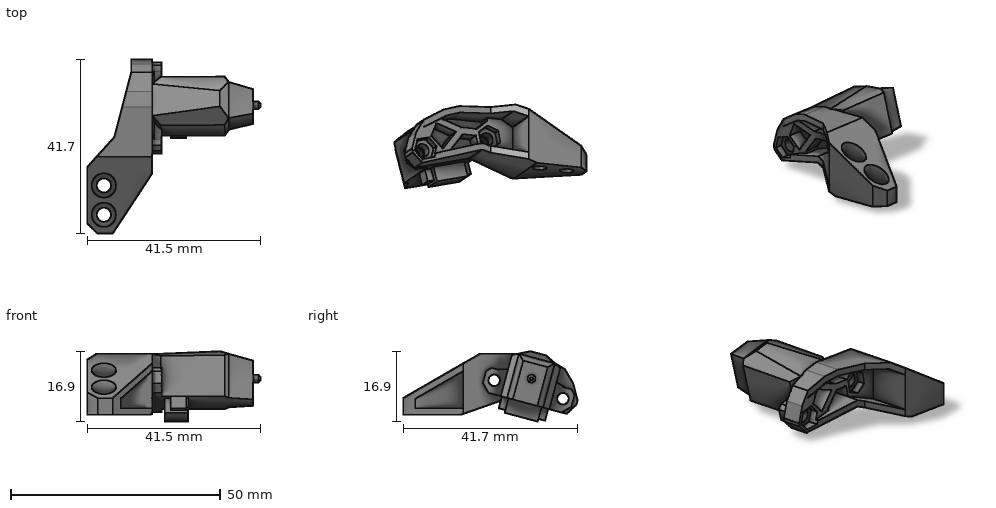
import cadquery as cq
import math


tilt = 15.0
probe_center_y = 30.0
probe_center_z = 6.05
screw_spacing = 17.0
screw_offsets = (-screw_spacing / 2, screw_spacing / 2)

foot_width = 15.55
plate_thickness = 5.0
window_depth = 4.0
rim = 1.6
tip_height = 4.0
top_height = 14.6
slope = 30.0
slope_tan = math.tan(math.radians(slope))
tilt_tan = math.tan(math.radians(tilt))
slope_top_y = (top_height - tip_height) / slope_tan
arch_y = 30.4
arch_bend_y = 34.0
arch_bend_z = top_height - (arch_bend_y - arch_y) * tilt_tan
plate_y = 38.65
plate_z = arch_bend_z - (plate_y - arch_bend_y) * slope_tan
base_end_y = 13.8
knee_y = 25.1
knee_z = 3.95
heel_y = 39.1
heel_z = knee_z - (heel_y - knee_y) * tilt_tan
end_outline = [(40.65, 7.6), (41.73, 3.45), (41.5, 2.5)]

flank_y = 14.36
tip_x = (-9.43, -13.0)
tip_corner_y = 2.45
shoulder_y = 15.9
waist_x = -9.05
waist_y = 23.1

mount_x = -11.53
mount_ys = (4.53, 11.53)
mount_hole_d = 3.35
mount_head_d = 5.8
mount_floor_z = 3.0

screw_hole_d = 3.2
nut_flats = 5.05
nut_depth = 2.0
nut_angles = (20.0, -15.0)

flank_pocket_x = -7.53

end_run = 10.0
beyond = 50.0

flange_t = 2.3
flange_half = 10.94
flange_bottom = -3.25
flange_top = 2.7
flange_upper_cut = 1.06
flange_lower_cut = 1.9
ear_hole_d = 2.7

hill_half = 8.4
hill_angle = 17.0
hill_back_x = 0.53
hill_back_inset = 1.3

body_half = 6.0
root_half = 3.94
root_top = 7.73
flank_top = 6.70
flare_x = body_half - root_half
crest_x = 16.2
crest_half = 1.95
crest_top = 8.97
side_end_x = 17.32
neck_x = 18.35
neck_half = 4.45
neck_top = 7.65
nose_x = 24.15
nose_half = 3.03
nose_top = 6.35

pin_z = 2.69
pin_d = 1.9
pin_tip_d = 0.75
pin_straight = 1.22
pin_end_x = 25.95

socket_x = (2.98, 8.58)
socket_half = 4.08
socket_bottom = -6.87
lug_x = (4.5, 8.17)
lug_half = 5.75
lug_bottom = -6.2


def prism_x(points, x0, x1):
    """Prism along X from an outline of (y, z) points."""
    return cq.Workplane("YZ", origin=(x0, 0, 0)).polyline(points).close().extrude(x1 - x0)


def prism_z(points, z0, z1):
    """Prism along Z from an outline of (x, y) points."""
    return cq.Workplane("XY", origin=(0, 0, z0)).polyline(points).close().extrude(z1 - z0)


def box(x, y, z):
    """Box from (low, high) pairs."""
    return prism_z([(x[0], y[0]), (x[1], y[0]), (x[1], y[1]), (x[0], y[1])], z[0], z[1])


def probe_to_part(y, z):
    """Part (y, z) of a point given in the tilted probe frame."""
    cosine = math.cos(math.radians(tilt))
    sine = math.sin(math.radians(tilt))
    return (probe_center_y + y * cosine + z * sine, probe_center_z - y * sine + z * cosine)


upper_edge = [
    (0, tip_height),
    (slope_top_y, top_height),
    (arch_y, top_height),
    (arch_bend_y, arch_bend_z),
]
lower_edge = [(heel_y, heel_z), (knee_y, knee_z), (base_end_y, 0)]


def bracket_blank():
    side = upper_edge + [(plate_y, plate_z)] + end_outline + lower_edge + [(0, 0)]
    plan = [
        (0, flank_y),
        (tip_x[0], 0),
        (tip_x[1], 0),
        (-foot_width, tip_corner_y),
        (-foot_width, shoulder_y),
        (waist_x, waist_y),
        (-plate_thickness, plate_y),
        (-plate_thickness, beyond),
        (0, beyond),
    ]
    return prism_x(side, -foot_width, 0).intersect(prism_z(plan, 0, top_height))


def inset_side(x0, x1):
    """Prism of the side outline, open at the plate end and set in by the rim."""
    end_y = plate_y + end_run
    open_end = [
        (end_y, plate_z - end_run * slope_tan),
        (end_y, heel_z - (end_y - heel_y) * tilt_tan),
    ]
    outline = upper_edge + open_end + lower_edge[1:] + [(0, 0)]
    return (
        cq.Workplane("YZ", origin=(x0, 0, 0))
        .polyline(outline).close().offset2D(-rim, "intersection").extrude(x1 - x0)
    )


def arm_pocket():
    reach = box((-foot_width, -plate_thickness), (shoulder_y, beyond), (0, top_height))
    return inset_side(-foot_width, -plate_thickness).intersect(reach)


def plate_windows():
    """Blind lightening windows as (y, z) outlines, the upper and lower ones trimmed by the rim."""
    upper = [
        (33.7, 11.5),
        (29.1, 10.0),
        (25.1, 10.0),
        (22.36, 12.35),
        (22.5, top_height),
        (arch_bend_y, top_height),
    ]
    middle = [(35.4, 10.4), (30.4, 8.75), (33.8, 4.25), (36.8, 7.1)]
    lower = [(28.6, 8.35), (25.3, 8.35), (24.8, 5.75), (24.5, 4), (31.2, 3.6), (31.6, 4.45)]
    floor_x = window_depth - plate_thickness
    inside = inset_side(-plate_thickness, floor_x)
    windows = [prism_x(outline, -plate_thickness, floor_x) for outline in (upper, middle, lower)]
    return [window.intersect(inside) for window in windows]


def flank_pocket():
    """Recess in the slanted flank; its roof runs parallel to the sloping top."""
    roof_z = tip_height - rim / math.cos(math.radians(slope))
    outline = [(0, rim), (flank_y, rim), (flank_y, roof_z + flank_y * slope_tan), (0, roof_z)]
    return prism_x(outline, flank_pocket_x, 0)


def nut_cut(offset, angle):
    y, z = probe_to_part(offset, 0)
    across_corners = nut_flats / math.cos(math.pi / 6)
    nut = (
        cq.Workplane("YZ")
        .polygon(6, across_corners).extrude(-foot_width)
        .rotate((0, 0, 0), (1, 0, 0), angle)
        .translate((nut_depth - plate_thickness, y, z))
    )
    hole = cq.Workplane("YZ").center(y, z).circle(screw_hole_d / 2).extrude(-plate_thickness)
    return nut.union(hole)


def mount_cut(y):
    hole = cq.Workplane("XY").center(mount_x, y).circle(mount_hole_d / 2).extrude(top_height)
    head = (
        cq.Workplane("XY", origin=(0, 0, mount_floor_z))
        .center(mount_x, y).circle(mount_head_d / 2).extrude(top_height)
    )
    return hole.union(head)


def make_bracket():
    bracket = bracket_blank().cut(arm_pocket()).cut(flank_pocket())
    for window in plate_windows():
        bracket = bracket.cut(window)
    for offset, angle in zip(screw_offsets, nut_angles):
        bracket = bracket.cut(nut_cut(offset, angle))
    for y in mount_ys:
        bracket = bracket.cut(mount_cut(y))
    return bracket


def mirrored(points):
    """Close a half outline of (y, z) points with its mirror image in y."""
    return points + [(-y, z) for y, z in reversed(points)]


def flange():
    half = [
        (flange_half - flange_lower_cut, flange_bottom),
        (flange_half, flange_bottom + flange_lower_cut),
        (flange_half, flange_top - flange_upper_cut),
        (flange_half - flange_upper_cut, flange_top),
    ]
    return prism_x(mirrored(half), 0, flange_t)


def flange_hill():
    rise = math.tan(math.radians(hill_angle))

    def outline(half):
        return [(-half, flange_top), (0, flange_top + half * rise), (half, flange_top)]

    bevel = (
        cq.Workplane("YZ").polyline(outline(hill_half - hill_back_inset)).close()
        .workplane(offset=hill_back_x).polyline(outline(hill_half)).close()
        .loft(ruled=True)
    )
    return bevel.union(prism_x(outline(hill_half), hill_back_x, flange_t))


def body():
    half_plan = [
        (0, root_half),
        (flare_x, body_half),
        (side_end_x, body_half),
        (neck_x, neck_half),
        (nose_x, nose_half),
    ]
    plan = half_plan + [(x, -y) for x, y in reversed(half_plan)]
    side = [
        (0, flange_bottom),
        (0, root_top),
        (crest_x, crest_top),
        (neck_x, neck_top),
        (nose_x, nose_top),
        (nose_x, flange_bottom),
    ]
    block = prism_z(plan, flange_bottom, crest_top).intersect(
        cq.Workplane("XZ").polyline(side).close().extrude(body_half, both=True)
    )
    for sign in (-1, 1):
        block = block.cut(shoulder_cut(sign))
    return block


def shoulder_cut(sign):
    """Block above the facet plane through the root, crest and flare corners."""
    root = cq.Vector(0, sign * root_half, root_top)
    crest = cq.Vector(crest_x, sign * crest_half, crest_top)
    flare = cq.Vector(flare_x, sign * body_half, flank_top)
    normal = (crest - root).cross(flare - root)
    if normal.z < 0:
        normal = normal * -1
    plane = cq.Plane(origin=crest, xDir=crest - root, normal=normal)
    return cq.Workplane(plane).rect(2 * nose_x, 2 * nose_x).extrude(body_half)


def pin():
    return (
        cq.Workplane("XY")
        .polyline([
            (nose_x, 0),
            (nose_x, -pin_d / 2),
            (nose_x + pin_straight, -pin_d / 2),
            (pin_end_x, -pin_tip_d / 2),
            (pin_end_x, 0),
        ])
        .close().revolve(360, (0, 0, 0), (1, 0, 0))
        .translate((0, 0, pin_z))
    )


def connector():
    socket = box(socket_x, (-socket_half, socket_half), (socket_bottom, flange_bottom))
    lugs = box(lug_x, (-lug_half, lug_half), (lug_bottom, flange_bottom))
    return socket.union(lugs)


def make_probe():
    probe = flange().union(flange_hill()).union(body()).union(pin()).union(connector())
    holes = (
        cq.Workplane("YZ").pushPoints([(y, 0) for y in screw_offsets])
        .circle(ear_hole_d / 2).extrude(flange_t)
    )
    probe = probe.cut(holes)
    return probe.rotate((0, 0, 0), (1, 0, 0), -tilt).translate((0, probe_center_y, probe_center_z))


bracket = make_bracket()
probe = make_probe()
result = cq.Compound.makeCompound([bracket.val(), probe.val()])